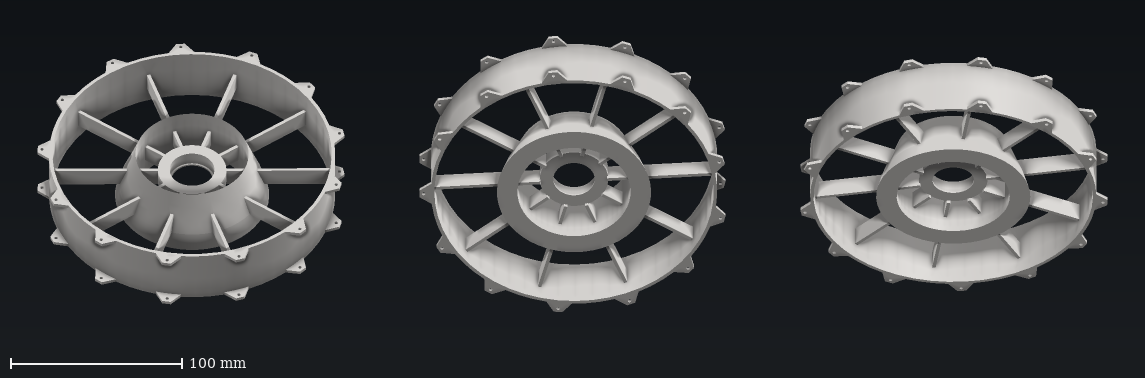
import cadquery as cq
import math

height = 34.0

ring_outer_radius = 167.0 / 2
ring_inner_radius = 163.0 / 2

tab_count = 13
tab_thickness = 2.0
tab_root_width = 15.0
tab_tip_width = 5.0
tab_length = 7.0
tab_hole_diameter = 2.0
tab_hole_to_tip = 2.5
tab_root_radius = math.sqrt(ring_outer_radius**2 - (tab_root_width / 2) ** 2)
tab_tip_radius = tab_root_radius + tab_length
tab_hole_radius = tab_tip_radius - tab_hole_to_tip

hub_outer_radius = 20.0
hub_bore_radius = 26.2 / 2
hub_lip_bore_radius = 24.2 / 2
hub_lip_thickness = 1.0
hub_bottom = 12.0
hub_top = 21.0

spoke_count = 10
spoke_width = 2.0
spoke_bottom = 10.0
spoke_top = hub_top
joint_overlap = 0.5

body_bore_radius = 66.0 / 2
body_waist_radius = 42.2
body_base_radius = 89.98 / 2
body_waist_height = spoke_bottom


def make_tube(outer_radius, inner_radius, bottom, top):
    return (
        cq.Workplane("XY", origin=(0, 0, bottom))
        .circle(outer_radius)
        .circle(inner_radius)
        .extrude(top - bottom)
    )


def make_hub():
    seat_bottom = hub_bottom + hub_lip_thickness
    lip = make_tube(hub_outer_radius, hub_lip_bore_radius, hub_bottom, seat_bottom)
    seat = make_tube(hub_outer_radius, hub_bore_radius, seat_bottom, hub_top)
    return lip.union(seat)


def make_flared_body():
    return (
        cq.Workplane("XZ")
        .moveTo(body_bore_radius, 0)
        .lineTo(body_base_radius, 0)
        .lineTo(body_waist_radius, body_waist_height)
        .lineTo(body_bore_radius, height)
        .close()
        .revolve(360, (0, 0, 0), (0, 1, 0))
    )


def make_spoke(angle):
    inner_end = hub_outer_radius - joint_overlap
    outer_end = ring_inner_radius + joint_overlap
    return (
        cq.Workplane("XY", origin=(0, 0, spoke_bottom))
        .center((inner_end + outer_end) / 2, 0)
        .rect(outer_end - inner_end, spoke_width)
        .extrude(spoke_top - spoke_bottom)
        .rotate((0, 0, 0), (0, 0, 1), angle)
    )


def make_tab(angle, bottom):
    return (
        cq.Workplane("XY", origin=(0, 0, bottom))
        .moveTo(tab_root_radius, -tab_root_width / 2)
        .lineTo(tab_tip_radius, -tab_tip_width / 2)
        .lineTo(tab_tip_radius, tab_tip_width / 2)
        .lineTo(tab_root_radius, tab_root_width / 2)
        .close()
        .moveTo(tab_hole_radius, 0)
        .circle(tab_hole_diameter / 2)
        .extrude(tab_thickness)
        .rotate((0, 0, 0), (0, 0, 1), angle)
    )


result = make_tube(ring_outer_radius, ring_inner_radius, 0, height)
result = result.union(make_hub()).union(make_flared_body())

for index in range(spoke_count):
    result = result.union(make_spoke(index * 360 / spoke_count))

for index in range(tab_count):
    tab_angle = index * 360 / tab_count
    result = result.union(make_tab(tab_angle, 0))
    result = result.union(make_tab(tab_angle, height - tab_thickness))